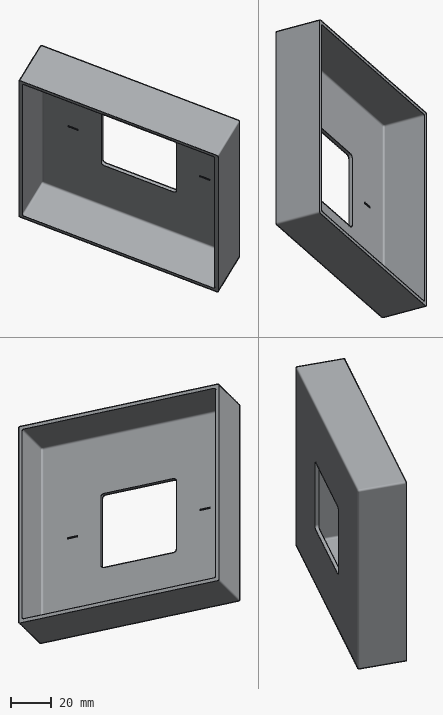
import cadquery as cq

side = 109.0
depth = 25.0
outer_radius = 1.0

wall = 2.0
floor_thickness = 2.0
inner_radius = 1.0

window_side = 41.0
window_radius = 1.7

mark_length = 5.5
mark_width = 0.5
mark_depth = 0.2
mark_center_x = 36.0

floor_y = depth - floor_thickness


def block(width, height, y_start, y_end):
    """Box centred on the Y axis, reaching from y_start to y_end."""
    solid = cq.Workplane("XY").box(width, y_end - y_start, height)
    return solid.translate((0, (y_start + y_end) / 2, 0))


def outer_body():
    """Box with all edges rounded except those of the open front."""
    return block(side, side, 0, depth).edges("|Y or >Y").fillet(outer_radius)


def cavity():
    """Hollow of the cover, rounded in its corners and along the floor."""
    inner_side = side - 2 * wall
    return block(inner_side, inner_side, 0, floor_y).edges("|Y or >Y").fillet(inner_radius)


def window():
    """Square opening with rounded corners."""
    return block(window_side, window_side, floor_y, depth).edges("|Y").fillet(window_radius)


result = outer_body().cut(cavity()).cut(window())

for direction in (-1, 1):
    mark = block(mark_length, mark_width, floor_y, floor_y + mark_depth)
    result = result.cut(mark.translate((direction * mark_center_x, 0, 0)))